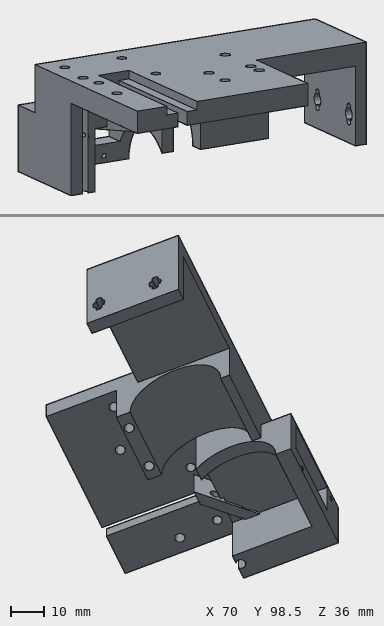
import cadquery as cq

LENGTH_X = 70.0
LENGTH_Y = 98.5
HEIGHT = 36.0

STEP_X = 9.85
PLATE_THICKNESS = 7.0
PLATE_BOTTOM = HEIGHT - PLATE_THICKNESS
PLATE_DEPTH = 59.9
ARM_RIGHT = 39.9
LEG_THICKNESS = 3.8
LEG_BOTTOM = 3.9
KEYHOLE_XS = [17.5, 36.0]
KEYHOLE_Z = 13.0
KEYHOLE_DIAMETER = 3.9
KEYHOLE_NOTCH_DIAMETER = 2.0
KEYHOLE_NOTCH_OFFSET = 2.4

BOX_RIGHT = 31.1
BOX_DEPTH = 36.0
BOX_STEP_Z = 20.9
REAR_RIGHT = 47.0
REAR_BOTTOM = 13.1
REAR_BORE_RADIUS = 14.9
REAR_BORE_X = 27.6

WINDOW_FRONT = 8.5
WINDOW_BACK = 31.9
WINDOW_BOTTOM = 6.4
WINDOW_TOP = 19.8
HOLLOW_X = 19.5
HOLLOW_RADIUS = 14.5

SLOT_LEFT = 30.0
SLOT_FRONT = 10.4
SLOT_BACK = 21.0
SLOT_INNER_FRONT = 14.3
SLOT_INNER_BACK = 17.5
SLOT_LEDGE_DEPTH = 2.7

MIRROR_RIGHT = 37.2
MIRROR_FRONT_OFFSET = 18.4
MIRROR_BACK_OFFSET = 13.7
MIRROR_BOTTOM = 18.8
MIRROR_HOLES_XZ = [(34.8, 21.7), (27.6, 20.6)]

SCREW_DIAMETER = 3.1
PIN_DIAMETER = 2.9
SIDE_HOLE_DIAMETER = 1.5
BLIND_DEPTH = 5.9
THROUGH_SCREWS = [(44.9, 54.9), (49.9, 54.9), (44.7, 40.3), (54.2, 40.3), (29.9, 4.9), (49.9, 4.9)]
BLIND_SCREWS = [(29.9, 54.9)]
THROUGH_PINS = [(37.1, 26.2), (37.1, 6.1)]
BLIND_PINS = [(17.1, 26.2), (17.1, 6.1)]
SIDE_HOLES_YZ = [(33.6, 22.7), (5.5, 17.6), (27.1, 2.3)]


def box(x0, x1, y0, y1, z0, z1):
    """Box between two opposite corners."""
    return cq.Workplane("XY").box(x1 - x0, y1 - y0, z1 - z0, centered=False).translate((x0, y0, z0))


def cylinder(start, direction, diameter, length):
    """Cylinder running from a start point along a direction."""
    return cq.Workplane(cq.Solid.makeCylinder(diameter / 2, length, cq.Vector(*start), cq.Vector(*direction)))


def make_rear_block():
    block = box(STEP_X, REAR_RIGHT, BOX_DEPTH, PLATE_DEPTH, REAR_BOTTOM, HEIGHT)
    start = (REAR_BORE_X, BOX_DEPTH, REAR_BOTTOM)
    bore = cylinder(start, (0, 1, 0), 2 * REAR_BORE_RADIUS, PLATE_DEPTH - BOX_DEPTH)
    return block.cut(bore)


def make_front_box():
    block = box(0, BOX_RIGHT, 0, BOX_DEPTH, 0, BOX_STEP_Z)
    block = block.union(box(STEP_X, BOX_RIGHT, 0, BOX_DEPTH, BOX_STEP_Z, HEIGHT))
    window = box(0, BOX_RIGHT, WINDOW_FRONT, WINDOW_BACK, WINDOW_BOTTOM, WINDOW_TOP)
    hollow = cylinder((HOLLOW_X, WINDOW_FRONT, 0), (0, 1, 0), 2 * HOLLOW_RADIUS, BOX_DEPTH - WINDOW_FRONT)
    return block.cut(window).cut(hollow)


def make_leg():
    leg_front = LENGTH_Y - LEG_THICKNESS
    leg = box(STEP_X, ARM_RIGHT, leg_front, LENGTH_Y, LEG_BOTTOM, HEIGHT)
    lobes = [
        (0, KEYHOLE_DIAMETER),
        (KEYHOLE_NOTCH_OFFSET, KEYHOLE_NOTCH_DIAMETER),
        (-KEYHOLE_NOTCH_OFFSET, KEYHOLE_NOTCH_DIAMETER),
    ]
    for x in KEYHOLE_XS:
        for offset, diameter in lobes:
            leg = leg.cut(cylinder((x, leg_front, KEYHOLE_Z + offset), (0, 1, 0), diameter, LEG_THICKNESS))
    return leg


def make_mirror_wall():
    outline = [
        (WINDOW_FRONT + MIRROR_FRONT_OFFSET, WINDOW_FRONT),
        (MIRROR_RIGHT, MIRROR_RIGHT - MIRROR_FRONT_OFFSET),
        (MIRROR_RIGHT, MIRROR_RIGHT - MIRROR_BACK_OFFSET),
        (WINDOW_FRONT + MIRROR_BACK_OFFSET, WINDOW_FRONT),
    ]
    wall = cq.Workplane("XY").workplane(offset=MIRROR_BOTTOM).polyline(outline).close()
    wall = wall.extrude(PLATE_BOTTOM - MIRROR_BOTTOM)
    hole_length = MIRROR_FRONT_OFFSET - MIRROR_BACK_OFFSET
    for x, z in MIRROR_HOLES_XZ:
        wall = wall.cut(cylinder((x, x - MIRROR_FRONT_OFFSET, z), (-1, 1, 0), SCREW_DIAMETER, hole_length))
    return wall


def cut_slot(body):
    ledge_z = HEIGHT - SLOT_LEDGE_DEPTH
    body = body.cut(box(SLOT_LEFT, LENGTH_X, SLOT_FRONT, SLOT_BACK, ledge_z, HEIGHT))
    return body.cut(box(SLOT_LEFT, LENGTH_X, SLOT_INNER_FRONT, SLOT_INNER_BACK, 0, HEIGHT))


def cut_holes(body):
    groups = [
        (THROUGH_SCREWS, SCREW_DIAMETER, HEIGHT),
        (BLIND_SCREWS, SCREW_DIAMETER, BLIND_DEPTH),
        (THROUGH_PINS, PIN_DIAMETER, HEIGHT),
        (BLIND_PINS, PIN_DIAMETER, BLIND_DEPTH),
    ]
    for places, diameter, depth in groups:
        for x, y in places:
            body = body.cut(cylinder((x, y, HEIGHT), (0, 0, -1), diameter, depth))
    for y, z in SIDE_HOLES_YZ:
        body = body.cut(cylinder((0, y, z), (1, 0, 0), SIDE_HOLE_DIAMETER, LENGTH_X))
    return body


plate = box(STEP_X, LENGTH_X, 0, PLATE_DEPTH, PLATE_BOTTOM, HEIGHT)
arm = box(STEP_X, ARM_RIGHT, 0, LENGTH_Y, PLATE_BOTTOM, HEIGHT)
body = plate.union(arm).union(make_leg()).union(make_front_box()).union(make_rear_block())
body = cut_holes(cut_slot(body))
result = body.union(make_mirror_wall())